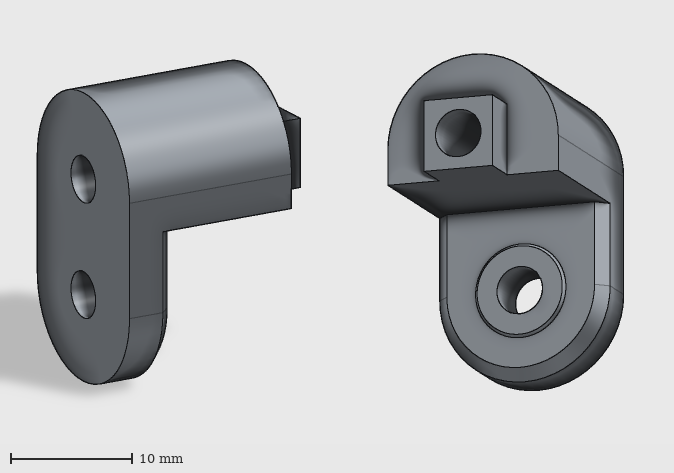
import cadquery as cq

width = 15.0
height = 25.0
radius = width / 2
hole_diameter = 4.0
lower_hole_z = radius
upper_hole_z = height - radius

body_depth = 15.5
tab_size = 6.0
tab_length = 3.5
total_depth = body_depth + tab_length
body_bottom_z = upper_hole_z - tab_size / 2

plate_thickness = 4.2
plate_chamfer = 1.0

boss_height = 0.25
boss_base_diameter = 7.95
boss_top_diameter = 7.5


def oval_prism(depth):
    """Upright oval with round ends, extruded back from the front face."""
    return (
        cq.Workplane("XZ")
        .center(0, height / 2)
        .slot2D(height, width, 90)
        .extrude(-depth)
    )


def rear_boss():
    """Low, slightly tapered pad around the lower hole."""
    return (
        cq.Workplane("XZ", origin=(0, plate_thickness, lower_hole_z))
        .circle(boss_base_diameter / 2)
        .workplane(offset=-boss_height)
        .circle(boss_top_diameter / 2)
        .loft(ruled=True)
    )


plate = oval_prism(plate_thickness).faces(">Y").chamfer(plate_chamfer)

upper_half = cq.Workplane("XY").box(
    width, body_depth, height - body_bottom_z, centered=(True, False, False)
).translate((0, 0, body_bottom_z))
body = oval_prism(body_depth).intersect(upper_half)

tab = cq.Workplane("XY").box(
    tab_size, tab_length, tab_size, centered=(True, False, False)
).translate((0, body_depth, body_bottom_z))

holes = (
    cq.Workplane("XZ")
    .pushPoints([(0, lower_hole_z), (0, upper_hole_z)])
    .circle(hole_diameter / 2)
    .extrude(-total_depth)
)

result = plate.union(body).union(tab).union(rear_boss()).cut(holes)